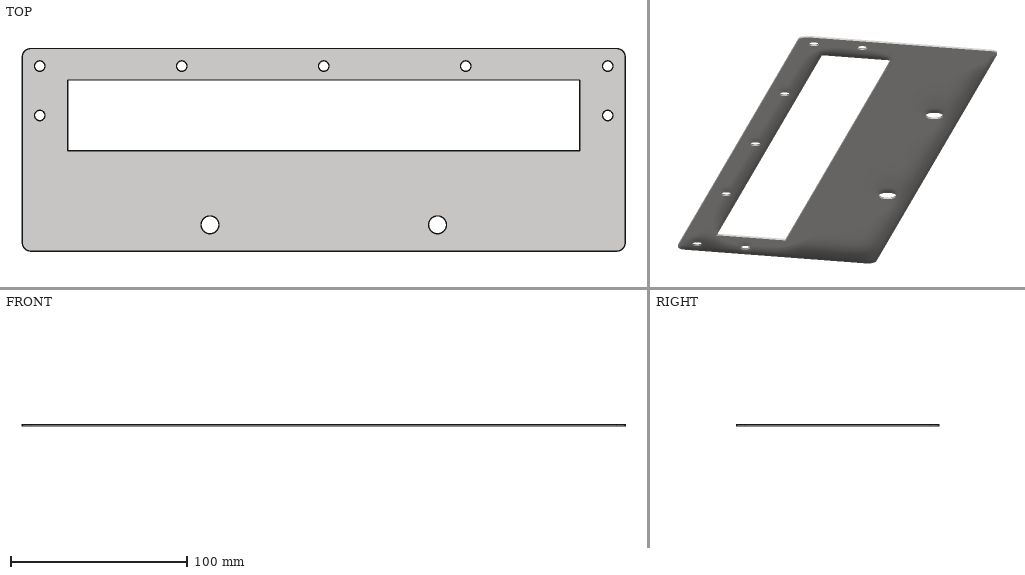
import cadquery as cq

LENGTH = 342.0
WIDTH = 115.0
THICKNESS = 1.0
CORNER_RADIUS = 5.0

WINDOW_LENGTH = 290.0
WINDOW_WIDTH = 40.0
WINDOW_EDGE_GAP = 18.0

MOUNT_DIAMETER = 5.8
MOUNT_EDGE_GAP = 10.0
MOUNT_ROW_COUNT = 5
END_HOLE_SPACING = 28.0

LARGE_DIAMETER = 10.0
LARGE_SPACING = 129.0
LARGE_EDGE_GAP = 15.0

BACK_EDGE_Y = WIDTH / 2
WINDOW_Y = BACK_EDGE_Y - WINDOW_EDGE_GAP - WINDOW_WIDTH / 2
MOUNT_ROW_Y = BACK_EDGE_Y - MOUNT_EDGE_GAP
MOUNT_END_X = LENGTH / 2 - MOUNT_EDGE_GAP
MOUNT_PITCH = 2 * MOUNT_END_X / (MOUNT_ROW_COUNT - 1)
LARGE_HOLE_Y = -WIDTH / 2 + LARGE_EDGE_GAP


def make_plate():
    """Flat plate with rounded corners, resting on Z = 0."""
    plate = cq.Workplane("XY").rect(LENGTH, WIDTH).extrude(THICKNESS)
    return plate.edges("|Z").fillet(CORNER_RADIUS)


def make_window():
    """Through cutter for the rectangular window."""
    outline = cq.Workplane("XY").center(0, WINDOW_Y).rect(WINDOW_LENGTH, WINDOW_WIDTH)
    return outline.extrude(THICKNESS)


def make_holes(centres, diameter):
    """Through cutters for round holes."""
    return cq.Workplane("XY").pushPoints(centres).circle(diameter / 2).extrude(THICKNESS)


def mount_centres():
    """Evenly spaced back row, then the second hole at each end."""
    row = [(-MOUNT_END_X + i * MOUNT_PITCH, MOUNT_ROW_Y) for i in range(MOUNT_ROW_COUNT)]
    ends = [(x, MOUNT_ROW_Y - END_HOLE_SPACING) for x in (-MOUNT_END_X, MOUNT_END_X)]
    return row + ends


def large_centres():
    """Pair of large holes, symmetric about the middle of the plate."""
    return [(x, LARGE_HOLE_Y) for x in (-LARGE_SPACING / 2, LARGE_SPACING / 2)]


result = (
    make_plate()
    .cut(make_window())
    .cut(make_holes(mount_centres(), MOUNT_DIAMETER))
    .cut(make_holes(large_centres(), LARGE_DIAMETER))
)